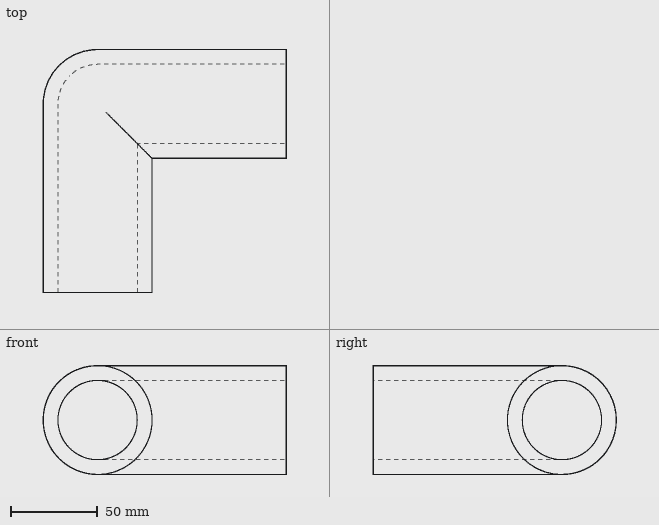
import cadquery as cq

overall_length = 140.5
outer_diameter = 63.0
bore_diameter = 45.8
leg_length = overall_length - outer_diameter / 2


def elbow_volume(diameter):
    """Legs along +X and -Y from the origin, joined by a ball at the corner."""
    radius = diameter / 2
    x_leg = cq.Workplane("YZ").circle(radius).extrude(leg_length)
    y_leg = cq.Workplane("XZ").circle(radius).extrude(leg_length)
    corner_ball = cq.Workplane("XY").sphere(radius)
    return x_leg.union(y_leg).union(corner_ball)


result = elbow_volume(outer_diameter).cut(elbow_volume(bore_diameter))